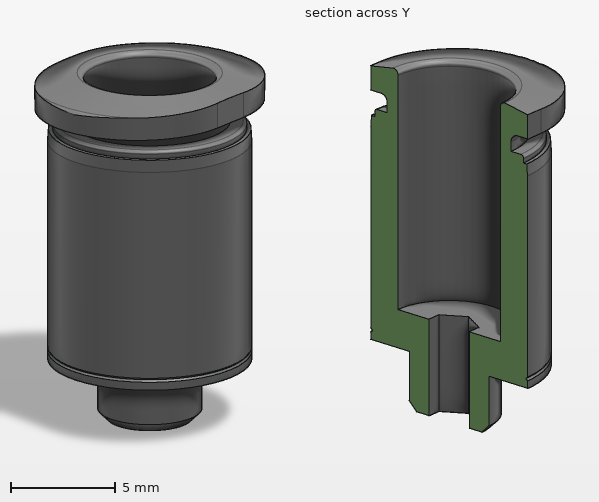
import cadquery as cq
import math

stem_length = 3.0
groove_bottom = 3.4
groove_top = 3.6
body_taper_start = 14.0
body_top = 14.6
collar_top = 15.0
head_bottom = 15.88
total_height = 17.4
bore_floor = 5.0

stem_radius = 5.0 / 2
body_radius = 9.8 / 2
collar_radius = 9.31 / 2
neck_radius = 7.76 / 2
bore_radius = 6.36 / 2

stem_chamfer = 0.46
groove_depth = 0.1
body_taper = 0.04
collar_round = 0.17
neck_round = 0.38
bore_mouth_round = 0.3
hex_across_flats = 2.5

head_width = 9.8
head_length = 11.8
head_cone_angle = 10
rim_radius = head_length / 2
rim_round_width = 0.17
rim_round_drop = 0.17


def quarter_arc_middle(center_r, center_z, radius, direction_r, direction_z):
    """Middle point of a quarter circle, in the diagonal direction given by two signs."""
    offset = radius * math.sqrt(0.5)
    return (center_r + direction_r * offset, center_z + direction_z * offset)


def make_body():
    """Stem, body with a V groove, collar and neck as one turned solid."""
    collar_middle = quarter_arc_middle(
        collar_radius - collar_round, collar_top - collar_round, collar_round, 1, 1
    )
    neck_middle = quarter_arc_middle(
        neck_radius + neck_round, head_bottom - neck_round, neck_round, -1, 1
    )
    profile = (
        cq.Workplane("XZ")
        .moveTo(0, 0)
        .lineTo(stem_radius - stem_chamfer, 0)
        .lineTo(stem_radius, stem_chamfer)
        .lineTo(stem_radius, stem_length)
        .lineTo(body_radius, stem_length)
        .lineTo(body_radius, groove_bottom)
        .lineTo(body_radius - groove_depth, (groove_bottom + groove_top) / 2)
        .lineTo(body_radius, groove_top)
        .lineTo(body_radius, body_taper_start)
        .lineTo(body_radius - body_taper, body_top)
        .lineTo(collar_radius, body_top)
        .lineTo(collar_radius, collar_top - collar_round)
        .threePointArc(collar_middle, (collar_radius - collar_round, collar_top))
        .lineTo(neck_radius, collar_top)
        .lineTo(neck_radius, head_bottom - neck_round)
        .threePointArc(neck_middle, (neck_radius + neck_round, head_bottom))
        .lineTo(0, head_bottom)
        .close()
    )
    return profile.revolve(360, (0, 0, 0), (0, 1, 0))


def make_head():
    """Obround plate trimmed by a turned blank that has the conical top and rounded rim."""
    cone_start = bore_radius + bore_mouth_round
    cone_end = rim_radius - rim_round_width
    cone_slope = math.tan(math.radians(head_cone_angle))
    cone_end_height = total_height - (cone_end - cone_start) * cone_slope
    blank = (
        cq.Workplane("XZ")
        .moveTo(0, head_bottom)
        .lineTo(rim_radius, head_bottom)
        .lineTo(rim_radius, cone_end_height - rim_round_drop)
        .tangentArcPoint((cone_end, cone_end_height), relative=False)
        .lineTo(cone_start, total_height)
        .lineTo(0, total_height)
        .close()
        .revolve(360, (0, 0, 0), (0, 1, 0))
    )
    plate = (
        cq.Workplane("XY")
        .workplane(offset=head_bottom)
        .slot2D(head_length, head_width, 90)
        .extrude(total_height - head_bottom)
    )
    return plate.intersect(blank)


def make_bore():
    """Tube bore from the top, with a rounded mouth."""
    mouth_start = total_height - bore_mouth_round
    mouth_middle = quarter_arc_middle(
        bore_radius + bore_mouth_round, mouth_start, bore_mouth_round, -1, 1
    )
    return (
        cq.Workplane("XZ")
        .moveTo(0, bore_floor)
        .lineTo(bore_radius, bore_floor)
        .lineTo(bore_radius, mouth_start)
        .threePointArc(mouth_middle, (bore_radius + bore_mouth_round, total_height))
        .lineTo(0, total_height)
        .close()
        .revolve(360, (0, 0, 0), (0, 1, 0))
    )


def make_hex_socket():
    """Hexagonal through hole with two corners on the Y axis."""
    across_corners = hex_across_flats / math.cos(math.pi / 6)
    return (
        cq.Workplane("XY")
        .transformed(rotate=(0, 0, 90))
        .polygon(6, across_corners)
        .extrude(bore_floor)
    )


result = make_body().union(make_head()).cut(make_bore()).cut(make_hex_socket())